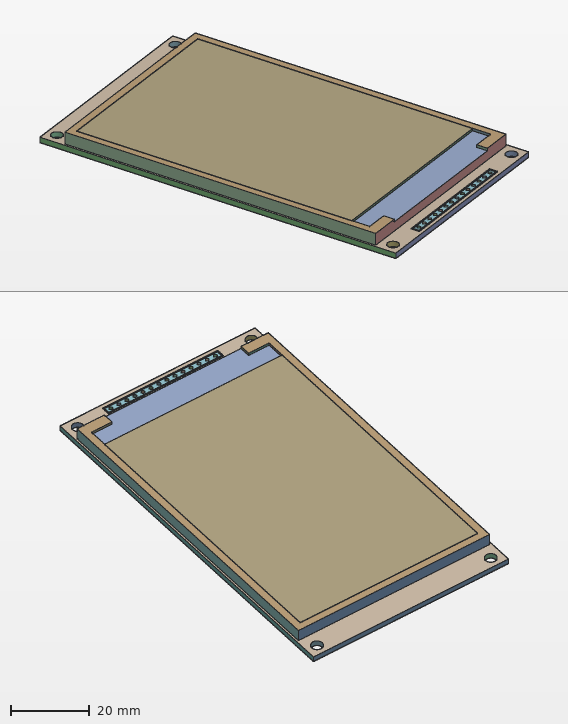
import cadquery as cq

BOARD_LENGTH = 108.0
BOARD_WIDTH = 61.7
BOARD_THICKNESS = 1.6
MOUNT_HOLE_DIAMETER = 3.2
MOUNT_HOLE_INSET_X = 3.0
MOUNT_HOLE_INSET_Y = 3.3

HEADER_X = 51.6
HEADER_HOLE_COUNT = 14
HEADER_ROW_LENGTH = 33.1
HEADER_PITCH = HEADER_ROW_LENGTH / (HEADER_HOLE_COUNT - 1)
HEADER_HOLE_DIAMETER = 1.0
HEADER_FRAME_WIDTH = 2.5
HEADER_FRAME_LENGTH = 36.4
HEADER_FRAME_LINE = 0.3
HEADER_FRAME_DEPTH = 0.1

TOTAL_HEIGHT = 5.1
DISPLAY_LEFT = -46.8
DISPLAY_RIGHT = 47.5
DISPLAY_WIDTH = 60.5
RIM_WIDTH = 2.2
SCREEN_RIGHT = 38.8
SCREEN_DEPTH = 0.1
LEDGE_DEPTH = 0.8
TAB_LENGTH = 3.2
TAB_WIDTH = 8.6

WINDOW_LEFT = DISPLAY_LEFT + RIM_WIDTH
WINDOW_WIDTH = DISPLAY_WIDTH - 2 * RIM_WIDTH
TAB_LEFT = DISPLAY_RIGHT - TAB_LENGTH
TAB_GAP = DISPLAY_WIDTH - 2 * TAB_WIDTH


def block(x_start, x_end, width, z_start, z_end):
    """Box between two X and two Z positions, centred on Y = 0."""
    box = cq.Workplane("XY").box(x_end - x_start, width, z_end - z_start, centered=(False, True, False))
    return box.translate((x_start, 0, z_start))


def header_frame():
    """Thin rectangular ring around the header holes, at the top of the board."""
    outer = cq.Workplane("XY").rect(HEADER_FRAME_WIDTH, HEADER_FRAME_LENGTH)
    ring = outer.extrude(HEADER_FRAME_DEPTH).faces(">Z").workplane().rect(
        HEADER_FRAME_WIDTH - 2 * HEADER_FRAME_LINE,
        HEADER_FRAME_LENGTH - 2 * HEADER_FRAME_LINE,
    ).cutThruAll()
    return ring.translate((HEADER_X, 0, BOARD_THICKNESS - HEADER_FRAME_DEPTH))


def make_board():
    """Board with corner mounting holes, header holes and the header frame groove."""
    board = block(-BOARD_LENGTH / 2, BOARD_LENGTH / 2, BOARD_WIDTH, 0, BOARD_THICKNESS)
    mount_holes = (
        cq.Workplane("XY")
        .rect(
            BOARD_LENGTH - 2 * MOUNT_HOLE_INSET_X,
            BOARD_WIDTH - 2 * MOUNT_HOLE_INSET_Y,
            forConstruction=True,
        )
        .vertices()
        .circle(MOUNT_HOLE_DIAMETER / 2)
        .extrude(BOARD_THICKNESS)
    )
    header_holes = (
        cq.Workplane("XY")
        .center(HEADER_X, 0)
        .rarray(1.1, HEADER_PITCH, 1, HEADER_HOLE_COUNT)
        .circle(HEADER_HOLE_DIAMETER / 2)
        .extrude(BOARD_THICKNESS)
    )
    return board.cut(mount_holes).cut(header_holes).cut(header_frame())


def make_display():
    """Display slab with a recessed screen and a lower ledge that opens between two end tabs."""
    slab = block(DISPLAY_LEFT, DISPLAY_RIGHT, DISPLAY_WIDTH, BOARD_THICKNESS, TOTAL_HEIGHT)
    screen = block(WINDOW_LEFT, SCREEN_RIGHT, WINDOW_WIDTH, TOTAL_HEIGHT - SCREEN_DEPTH, TOTAL_HEIGHT)
    ledge_floor = TOTAL_HEIGHT - LEDGE_DEPTH
    ledge = block(SCREEN_RIGHT, TAB_LEFT, WINDOW_WIDTH, ledge_floor, TOTAL_HEIGHT)
    ledge_opening = block(TAB_LEFT, DISPLAY_RIGHT, TAB_GAP, ledge_floor, TOTAL_HEIGHT)
    return slab.cut(screen).cut(ledge).cut(ledge_opening)


board = make_board()
display = make_display()

result = cq.Compound.makeCompound([board.val(), display.val()])